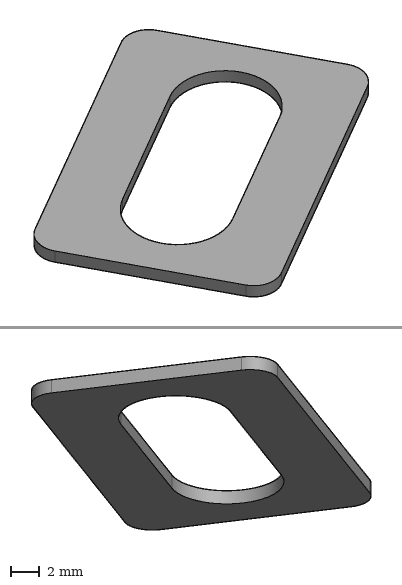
import cadquery as cq

plate_width = 17.9
plate_length = 25.8
plate_thickness = 1.0
corner_radius = 2.0

slot_width = 8.0
slot_length = 20.0

plate = (
    cq.Workplane("XY")
    .rect(plate_width, plate_length)
    .extrude(plate_thickness)
    .edges("|Z")
    .fillet(corner_radius)
)

result = (
    plate.faces(">Z")
    .workplane()
    .slot2D(slot_length, slot_width, angle=90)
    .cutThruAll()
)